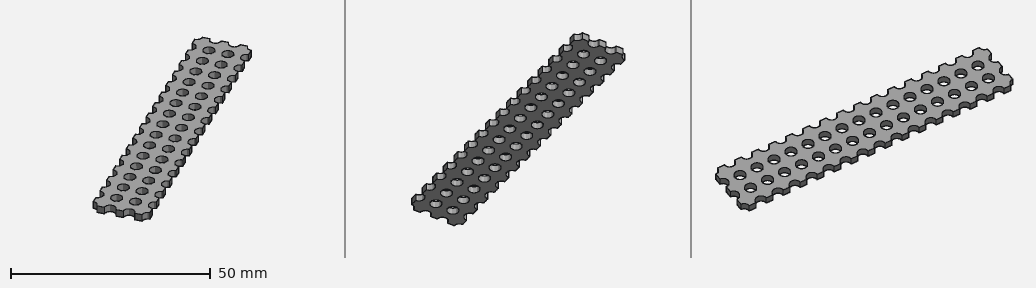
import cadquery as cq

length = 80.0
thickness = 2.0
cells_x = 3
cells_y = 16
web = 2.0

pitch = length / cells_y
width = cells_x * pitch
hole_diameter = pitch - web


def hole_grid():
    """Cylinders on every grid node, including those on the edges and corners."""
    return (
        cq.Workplane("XY")
        .rarray(pitch, pitch, cells_x + 1, cells_y + 1)
        .circle(hole_diameter / 2)
        .extrude(thickness)
    )


plate = cq.Workplane("XY").rect(width, length).extrude(thickness)

result = plate.cut(hole_grid())